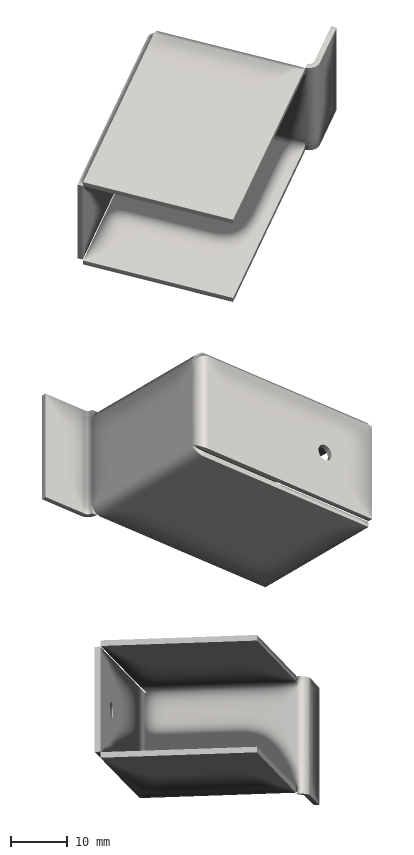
import cadquery as cq
import math

thickness = 1.0
inner_radius = 1.0
outer_radius = inner_radius + thickness
corner_gap = 0.1

width = 31.0
length = 50.0
height = 21.0
box_depth = 40.0
side_setback = 0.1

hole_diameter = 3.0
hole_y = 11.0

box_end_x = width - outer_radius
bend_y = box_depth - outer_radius
flange_start = thickness + corner_gap
mid_z = height / 2
x_direction = cq.Vector(1, 0, 0)
y_direction = cq.Vector(0, 1, 0)
z_direction = cq.Vector(0, 0, 1)


def block(x_range, y_range, z_range):
    """Box between the given low and high coordinates."""
    low, high = zip(x_range, y_range, z_range)
    size = [b - a for a, b in zip(low, high)]
    return cq.Workplane("XY").box(*size, centered=False).translate(low)


def bend_arc(origin, along, inward, position, radius, slant):
    """Quarter arc around the bend axis; slant moves its start back along the axis."""
    center = origin + along * position + y_direction * bend_y + inward * outer_radius
    start = along * -slant + inward * -radius
    return cq.Edge.makeEllipse(
        math.hypot(slant, radius), radius, center, start.cross(y_direction), start, 0, 90
    )


def mitred_bend(origin, along, inward, end):
    """Quarter-round bend into the back wall: mitred at the corner, square at its end.

    The mitre follows the inside of the neighbouring bend and is cut radially through the sheet.
    """
    mitre_position = outer_radius + corner_gap
    mitre_outer = bend_arc(origin, along, inward, mitre_position, outer_radius, inner_radius)
    mitre_inner = bend_arc(origin, along, inward, mitre_position, inner_radius, inner_radius)
    end_outer = bend_arc(origin, along, inward, end, outer_radius, 0)
    end_inner = bend_arc(origin, along, inward, end, inner_radius, 0)
    loop = [mitre_outer, end_outer, end_inner, mitre_inner]
    faces = [
        cq.Face.makeRuledSurface(first, second)
        for first, second in zip(loop, loop[1:] + loop[:1])
    ]
    for point_at in (cq.Edge.startPoint, cq.Edge.endPoint):
        corners = [point_at(arc) for arc in loop]
        faces.append(cq.Face.makeFromWires(cq.Wire.makePolygon(corners, close=True)))
    solid = cq.Solid.makeSolid(cq.Shell.makeShell(faces))
    return cq.Workplane(obj=solid.fix())


def back_wall():
    return block(
        (outer_radius, box_end_x),
        (box_depth - thickness, box_depth),
        (outer_radius, height - outer_radius),
    )


def bottom_flange():
    """Flat plate with the bend that joins it to the back wall."""
    plate = block((flange_start, box_end_x), (0, bend_y), (0, thickness))
    return plate.union(mitred_bend(cq.Vector(), x_direction, z_direction, box_end_x))


def side_flange():
    """Left plate with a hole, and its bend mitred at both ends."""
    plate = block((0, thickness), (side_setback, bend_y), (flange_start, height - flange_start))
    hole = (
        cq.Workplane("YZ")
        .center(hole_y, mid_z)
        .circle(hole_diameter / 2)
        .extrude(thickness)
    )
    lower_bend = mitred_bend(cq.Vector(), z_direction, x_direction, mid_z)
    upper_bend = lower_bend.mirror("XY", (0, 0, mid_z))
    return plate.cut(hole).union(lower_bend).union(upper_bend)


def rear_tab():
    """Full-height tab turned backwards from the right end of the back wall."""
    tab_y = box_depth + inner_radius
    diagonal = math.sqrt(0.5)
    return (
        cq.Workplane("XY")
        .moveTo(box_end_x, box_depth - thickness)
        .threePointArc(
            (box_end_x + outer_radius * diagonal, tab_y - outer_radius * diagonal),
            (width, tab_y),
        )
        .lineTo(width, length)
        .lineTo(width - thickness, length)
        .lineTo(width - thickness, tab_y)
        .threePointArc(
            (box_end_x + inner_radius * diagonal, tab_y - inner_radius * diagonal),
            (box_end_x, box_depth),
        )
        .close()
        .extrude(height)
    )


lower_flange = bottom_flange()
upper_flange = lower_flange.mirror("XY", (0, 0, mid_z))

result = back_wall()
for piece in (lower_flange, upper_flange, side_flange(), rear_tab()):
    result = result.union(piece)